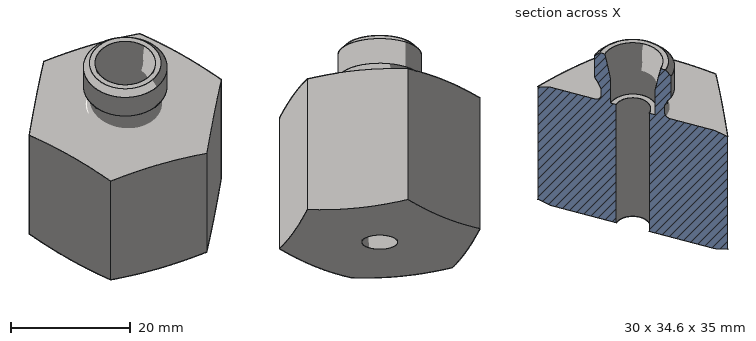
import cadquery as cq
import math

total_height = 35.0
across_flats = 30.0
across_corners = across_flats / math.cos(math.radians(30))
spigot_height = 10.0
body_height = total_height - spigot_height
hex_chamfer_angle = 15.0

spigot_radius = 14.0 / 2
neck_radius = 11.7 / 2
tip_chamfer = 1.0
shoulder_depth = 5.5
undercut_angle = 30.0
neck_fillet = 0.98

bore_diameter = 6.0
socket_diameter = 8.0
socket_depth = 10.0
mouth_diameter = 10.1
mouth_half_angle = 12.0


def make_hex_body():
    """Hexagonal prism with its corners bevelled at both ends."""
    prism = (
        cq.Workplane("XY")
        .polygon(6, across_corners)
        .extrude(body_height)
        .rotate((0, 0, 0), (0, 0, 1), 30)
    )
    flat_radius = across_flats / 2
    outer_radius = across_corners / 2
    bevel_height = (outer_radius - flat_radius) * math.tan(math.radians(hex_chamfer_angle))
    envelope = (
        cq.Workplane("XZ")
        .moveTo(0, 0)
        .lineTo(flat_radius, 0)
        .lineTo(outer_radius, bevel_height)
        .lineTo(outer_radius, body_height - bevel_height)
        .lineTo(flat_radius, body_height)
        .lineTo(0, body_height)
        .close()
        .revolve(360, (0, 0, 0), (0, 1, 0))
    )
    return prism.intersect(envelope)


def make_spigot():
    """Turned spigot with a chamfered tip, an undercut neck and a flared foot."""
    half_angle = math.radians(undercut_angle)
    shoulder_z = total_height - shoulder_depth
    neck_top_z = shoulder_z - (spigot_radius - neck_radius) / math.tan(half_angle)

    tangent_length = neck_fillet * math.tan(half_angle / 2)
    arc_start_z = neck_top_z - tangent_length
    arc_center_radius = neck_radius + neck_fillet

    def neck_arc_point(angle):
        return (
            arc_center_radius - neck_fillet * math.cos(angle),
            arc_start_z + neck_fillet * math.sin(angle),
        )

    foot_bend = neck_fillet * (1 - math.cos(math.radians(45)))
    return (
        cq.Workplane("XZ")
        .moveTo(0, body_height)
        .lineTo(neck_radius + neck_fillet, body_height)
        .threePointArc(
            (neck_radius + foot_bend, body_height + foot_bend),
            (neck_radius, body_height + neck_fillet),
        )
        .lineTo(neck_radius, arc_start_z)
        .threePointArc(neck_arc_point(half_angle / 2), neck_arc_point(half_angle))
        .lineTo(spigot_radius, shoulder_z)
        .lineTo(spigot_radius, total_height - tip_chamfer)
        .lineTo(spigot_radius - tip_chamfer, total_height)
        .lineTo(0, total_height)
        .close()
        .revolve(360, (0, 0, 0), (0, 1, 0))
    )


def make_bore():
    """Through bore, opening into a socket with a tapered mouth at the tip."""
    bore_radius = bore_diameter / 2
    socket_radius = socket_diameter / 2
    mouth_radius = mouth_diameter / 2
    socket_floor_z = total_height - socket_depth
    mouth_depth = (mouth_radius - socket_radius) / math.tan(math.radians(mouth_half_angle))
    return (
        cq.Workplane("XZ")
        .moveTo(0, 0)
        .lineTo(bore_radius, 0)
        .lineTo(bore_radius, socket_floor_z)
        .lineTo(socket_radius, socket_floor_z)
        .lineTo(socket_radius, total_height - mouth_depth)
        .lineTo(mouth_radius, total_height)
        .lineTo(0, total_height)
        .close()
        .revolve(360, (0, 0, 0), (0, 1, 0))
    )


result = make_hex_body().union(make_spigot()).cut(make_bore())